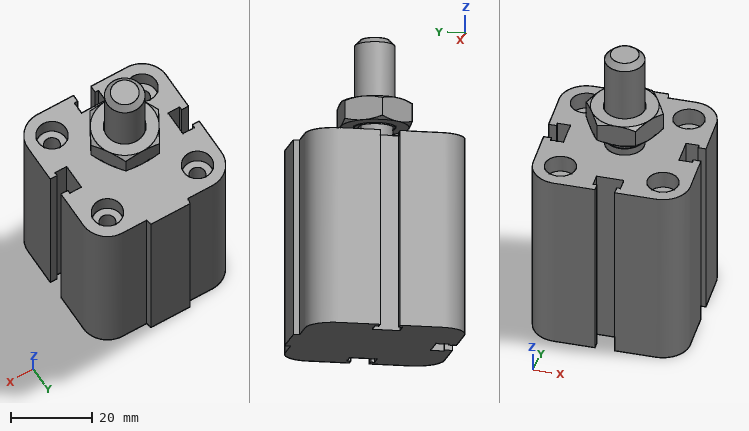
import cadquery as cq
import math

total_height = 77.0
housing_height = 49.4

housing_side = 40.0
corner_radius = 7.0
rib_projection = 1.55
rib_root_width = 11.9
rib_crest_width = 11.3
slot_mouth_width = 5.0
slot_inner_width = 6.9
slot_lip_thickness = 2.0
slot_depth = 5.3
mount_spacing = 26.0
counterbore_diameter = 7.9
counterbore_depth = 4.6
screw_hole_diameter = 4.15
screw_hole_depth = 13.0

rod_diameter = 10.0
rod_tip_chamfer = 1.5
collar_height = 2.1
neck_diameter = 9.8
flats_width = 8.0
flats_offset = 0.55
stud_reveal = 0.2

nut_sides = 6
nut_width = 16.95
nut_height = 6.0
nut_top = 61.0
nut_hole_diameter = 10.5
nut_chamfer_angle = 30.0

nut_bottom = nut_top - nut_height
collar_top = housing_height + collar_height
stud_bottom = nut_bottom - stud_reveal
half_side = housing_side / 2


def prism(points, height):
    """Upright prism standing on Z = 0."""
    return cq.Workplane("XY").polyline(points).close().extrude(height)


def make_t_slot():
    """Full-height T-slot cutter that opens on the -Y side of the housing."""
    mouth = slot_mouth_width / 2
    inner = slot_inner_width / 2
    face = -half_side
    lip = face + slot_lip_thickness
    floor = face + slot_depth
    return prism(
        [(-mouth, face), (mouth, face), (mouth, lip), (inner, lip),
         (inner, floor), (-inner, floor), (-inner, lip), (-mouth, lip)],
        housing_height,
    )


def make_rib():
    """Full-height tapered rib along the middle of the +Y side."""
    root = rib_root_width / 2
    crest = rib_crest_width / 2
    root_y = half_side
    crest_y = root_y + rib_projection
    return prism([(-root, root_y), (root, root_y), (crest, crest_y), (-crest, crest_y)], housing_height)


def make_housing():
    """Rounded square block with a rear rib, three T-slots and four screw holes."""
    block = (
        cq.Workplane("XY")
        .rect(housing_side, housing_side)
        .extrude(housing_height)
        .edges("|Z")
        .fillet(corner_radius)
        .union(make_rib())
    )
    for angle in (-90, 0, 90):
        block = block.cut(make_t_slot().rotate((0, 0, 0), (0, 0, 1), angle))
    hole_pattern = (
        cq.Workplane("XY")
        .workplane(offset=housing_height)
        .rect(mount_spacing, mount_spacing, forConstruction=True)
        .vertices()
    )
    counterbores = hole_pattern.circle(counterbore_diameter / 2).extrude(-counterbore_depth)
    screw_holes = hole_pattern.circle(screw_hole_diameter / 2).extrude(-screw_hole_depth)
    return block.cut(counterbores).cut(screw_holes)


def disc(diameter, bottom, top):
    """Cylinder on the Z axis between two heights."""
    return cq.Workplane("XY").workplane(offset=bottom).circle(diameter / 2).extrude(top - bottom)


def make_rod():
    """Stepped rod on the housing: collar, neck with two wrench flats, and a stud with a chamfered tip."""
    neck_step = (rod_diameter - neck_diameter) / 2
    collar = disc(rod_diameter, housing_height, collar_top).faces(">Z").chamfer(neck_step)
    neck = disc(neck_diameter, housing_height, stud_bottom)
    stud = disc(rod_diameter, stud_bottom, total_height).faces(">Z").chamfer(rod_tip_chamfer)
    rod = collar.union(neck).union(stud)

    flats_bottom = collar_top + flats_offset
    around_flats = (
        cq.Workplane("XY")
        .workplane(offset=flats_bottom)
        .rect(2 * rod_diameter, 2 * rod_diameter)
        .rect(2 * rod_diameter, flats_width)
        .extrude(nut_bottom - flats_bottom)
    )
    return rod.cut(around_flats)


def make_nut():
    """Hexagonal nut with conical chamfers on both ends and a plain clearance hole."""
    corner_reach = nut_width / 2 / math.cos(math.pi / nut_sides)
    end_radius = nut_width / 2
    chamfer_drop = (corner_reach - end_radius) * math.tan(math.radians(nut_chamfer_angle))
    hexagon = (
        cq.Workplane("XY")
        .workplane(offset=nut_bottom)
        .polygon(nut_sides, 2 * corner_reach)
        .circle(nut_hole_diameter / 2)
        .extrude(nut_height)
    )
    chamfer_envelope = (
        cq.Workplane("XZ")
        .polyline([
            (0, nut_bottom),
            (end_radius, nut_bottom),
            (corner_reach, nut_bottom + chamfer_drop),
            (corner_reach, nut_top - chamfer_drop),
            (end_radius, nut_top),
            (0, nut_top),
        ])
        .close()
        .revolve(360, (0, 0), (0, 1))
    )
    return hexagon.intersect(chamfer_envelope)


housing = make_housing()
rod = make_rod()
nut = make_nut()

result = cq.Compound.makeCompound([housing.val(), rod.val(), nut.val()])